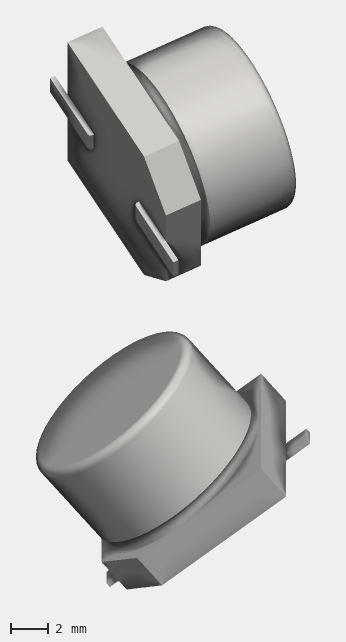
import cadquery as cq

overall_length = 13.8
overall_height = 8.51

base_side = 11.0
base_thickness = 2.14
corner_cut = 2.44

lead_length = 4.39
lead_width = 1.3
lead_thickness = 0.3
lead_edge_radius = 0.2

can_radius = 5.34
can_top_radius = 0.43
groove_radius = 0.33
can_height = overall_height - base_thickness - lead_thickness


def make_base():
    """Base plate from Y = 0 up to the can, with its +X corners cut at 45 degrees."""
    plate = cq.Workplane("XY").box(
        base_side, base_thickness, base_side, centered=(True, False, True)
    )
    return plate.edges("|Y and >X").chamfer(corner_cut)


def make_can():
    """Can revolved about Y, with a half-round groove at its foot and a rounded top rim."""
    foot = base_thickness
    top = foot + can_height
    groove_floor = can_radius - groove_radius
    rim_start = top - can_top_radius
    profile = (
        cq.Workplane("XY")
        .moveTo(0, foot)
        .lineTo(can_radius, foot)
        .threePointArc((groove_floor, foot + groove_radius), (can_radius, foot + 2 * groove_radius))
        .lineTo(can_radius, rim_start)
        .radiusArc((can_radius - can_top_radius, top), -can_top_radius)
        .lineTo(0, top)
        .close()
    )
    return profile.revolve(360, (0, 0, 0), (0, 1, 0))


def make_lead(side):
    """Lead lying against the base on the given X side, its inner lower edge rounded."""
    center_x = side * (overall_length - lead_length) / 2
    inner_face = "<X" if side > 0 else ">X"
    lead = cq.Workplane("XY").box(lead_length, lead_thickness, lead_width)
    lead = lead.faces(inner_face).edges("<Y").fillet(lead_edge_radius)
    return lead.translate((center_x, -lead_thickness / 2, 0))


base = make_base()
can = make_can()
leads = [make_lead(side) for side in (-1, 1)]

result = cq.Compound.makeCompound([base.val(), can.val(), *[lead.val() for lead in leads]])